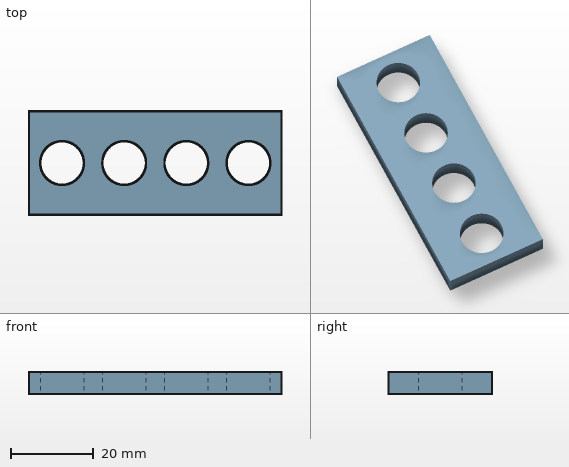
import cadquery as cq

length = 61.0
width = 25.0
thickness = 5.4

hole_diameter = 10.5
hole_count = 4
hole_pitch = 15.0


def make_plate():
    """Flat rectangular plate, centred in X and Y, resting on Z = 0."""
    return cq.Workplane("XY").box(length, width, thickness, centered=(True, True, False))


def drill_hole_row(plate):
    """Cut the evenly spaced row of holes through the plate."""
    return (
        plate.faces(">Z")
        .workplane(origin=(0, 0, thickness))
        .rarray(hole_pitch, width, hole_count, 1)
        .hole(hole_diameter)
    )


result = drill_hole_row(make_plate())